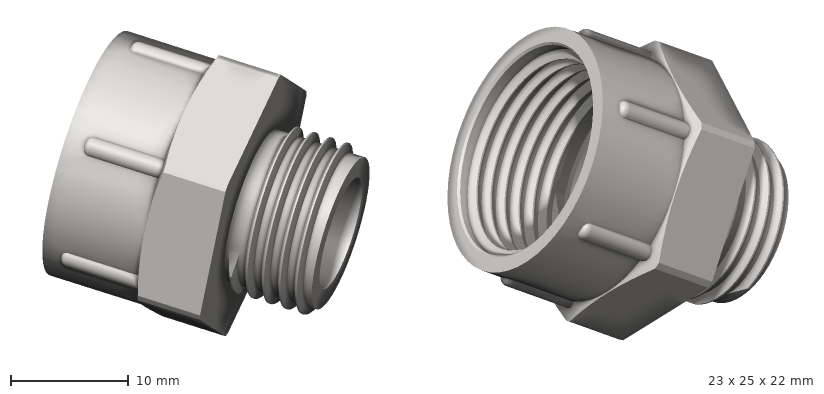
import cadquery as cq
import math

socket_length = 8.73
hex_end = 15.0
total_length = 23.0

socket_radius = 21.82 / 2
hex_across_flats = 22.0
hex_corner_radius = 12.5
hex_chamfer_length = 0.6
spigot_radius = 13.59 / 2

bore_radius = 18.75 / 2
bore_depth = 11.0
bore_mouth_radius = 9.55
bore_mouth_chamfer = bore_mouth_radius - bore_radius
funnel_radius = 17.26 / 2
through_radius = 9.95 / 2

rib_count = 6
rib_radius = 0.9
rib_top_radius = 11.48
rib_start = 1.78
rib_tip_fillet = 0.6

pitch = 1.5
thread_height = 0.75
thread_root_width = 1.05
thread_crest_width = 0.15
thread_embed = 0.2
runout_angle = 20.0
outer_thread_start = hex_end + 0.75
outer_thread_start_angle = 161.0
outer_thread_turns = 4.31
inner_thread_start = 1.05
inner_thread_start_angle = -90.0
inner_thread_turns = 6.3


def thread_section(base_radius, direction, height, crest_width, start, start_angle, angle):
    """Trapezoid ridge section, turned by angle along the helix; direction is +1 outward, -1 inward."""
    x = start + pitch * angle / 360
    turn = math.radians(start_angle + angle)
    root = base_radius - direction * thread_embed
    crest = base_radius + direction * height
    corners = [
        (x - thread_root_width / 2, root),
        (x + thread_root_width / 2, root),
        (x + crest_width / 2, crest),
        (x - crest_width / 2, crest),
    ]
    points = [cq.Vector(px, r * math.cos(turn), r * math.sin(turn)) for px, r in corners]
    return cq.Wire.makePolygon(points, close=True)


def thread(base_radius, direction, start, start_angle, turns):
    """Right-handed helical ridge that fades into the base cylinder at both ends."""
    end_angle = 360 * turns
    full_start = runout_angle
    full_end = end_angle - runout_angle

    def full_section(angle):
        return thread_section(
            base_radius, direction, thread_height, thread_crest_width, start, start_angle, angle
        )

    def faded_section(angle):
        return thread_section(base_radius, direction, 0, thread_root_width, start, start_angle, angle)

    helix_length = pitch * (full_end - full_start) / 360
    helix = cq.Wire.makeHelix(pitch, helix_length, base_radius)
    helix = helix.rotate(cq.Vector(), cq.Vector(1, 1, 1), 120)
    helix = helix.rotate(cq.Vector(), cq.Vector(1, 0, 0), start_angle + full_start)
    helix = helix.translate(cq.Vector(start + pitch * full_start / 360, 0, 0))

    ridge = cq.Solid.sweep(full_section(full_start), [], helix, True, True)
    lead_in = cq.Solid.makeLoft([faded_section(0), full_section(full_start)], True)
    lead_out = cq.Solid.makeLoft([full_section(full_end), faded_section(end_angle)], True)
    return [ridge, lead_in, lead_out]


def revolved(profile):
    """Turn a profile of (x, radius) points around the X axis."""
    return cq.Workplane("XY").polyline(profile).close().revolve(360, (0, 0), (1, 0))


def hexagon():
    """Hexagon with corners on Y, turned round at the corners and chamfered toward the socket."""
    corner_diameter = hex_across_flats / math.cos(math.pi / 6)
    prism = (
        cq.Workplane("YZ", origin=(socket_length, 0, 0))
        .polygon(6, corner_diameter)
        .extrude(hex_end - socket_length)
    )
    envelope = revolved([
        (socket_length, 0),
        (socket_length, socket_radius),
        (socket_length + hex_chamfer_length, hex_corner_radius),
        (hex_end, hex_corner_radius),
        (hex_end, 0),
    ])
    return prism.intersect(envelope)


def rib(angle):
    """Round rib along the socket, ending inside the hexagon."""
    rib_length = socket_length + hex_chamfer_length - rib_start
    return (
        cq.Workplane("YZ", origin=(rib_start, rib_top_radius - rib_radius, 0))
        .circle(rib_radius)
        .extrude(rib_length)
        .faces("<X")
        .edges()
        .fillet(rib_tip_fillet)
        .rotate((0, 0, 0), (1, 0, 0), angle)
    )


body = cq.Workplane("YZ").circle(socket_radius).extrude(socket_length)
body = body.union(hexagon())
spigot = cq.Workplane("YZ", origin=(hex_end, 0, 0)).circle(spigot_radius).extrude(total_length - hex_end)
body = body.union(spigot)

for index in range(rib_count):
    body = body.union(rib(360 / rib_count * index))

bore = revolved([
    (0, 0),
    (0, bore_mouth_radius),
    (bore_mouth_chamfer, bore_radius),
    (bore_depth, bore_radius),
    (bore_depth, funnel_radius),
    (hex_end, through_radius),
    (total_length, through_radius),
    (total_length, 0),
])
body = body.cut(bore)

outer_thread = thread(spigot_radius, 1, outer_thread_start, outer_thread_start_angle, outer_thread_turns)
inner_thread = thread(bore_radius, -1, inner_thread_start, inner_thread_start_angle, inner_thread_turns)
for piece in outer_thread + inner_thread:
    body = body.union(cq.Workplane(piece))

result = body